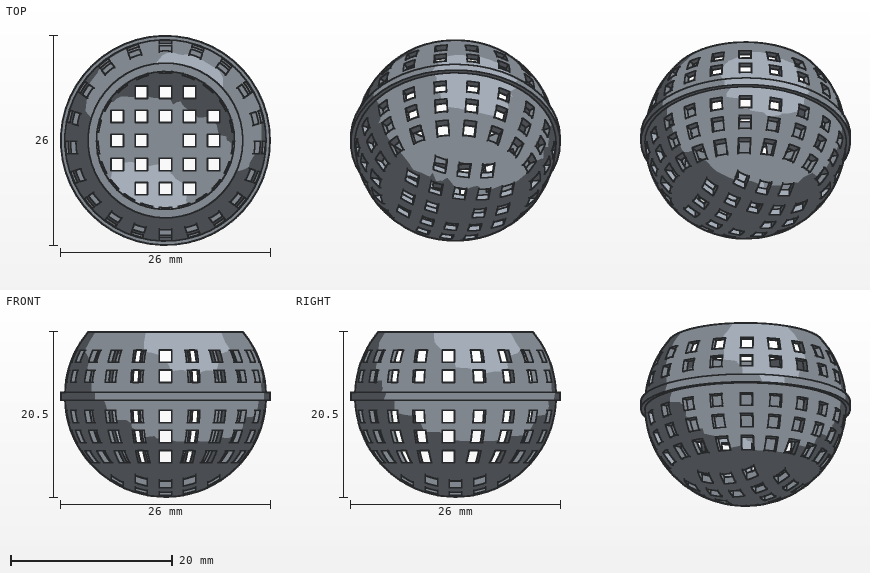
import cadquery as cq

ring_diameter = 26.0
ring_height = 1.0
shell_outer_radius = 12.5
shell_thickness = 0.78
shell_inner_radius = shell_outer_radius - shell_thickness
overall_height = 20.51
rim_height = overall_height - shell_outer_radius

hole_size = 1.5

holes_per_row = 20
row_pitch = 2.5
row_steps = (-3, -2, -1, 1, 2)
fan_axis_y = -0.88

grid_pitch = 3.0
grid_reach = 2


def ball(radius):
    return cq.Workplane("XY").sphere(radius)


def ring():
    return cq.Workplane("XY").cylinder(ring_height, ring_diameter / 2)


def space_above_rim():
    """Block that removes the top of the ball down to the flat rim."""
    return (
        cq.Workplane("XY")
        .workplane(offset=rim_height)
        .rect(ring_diameter, ring_diameter)
        .extrude(shell_outer_radius)
    )


def side_row(height):
    """Cutter for one level row of holes, made of bars crossing at the fan axis."""
    bar_length = 2 * ring_diameter
    hole_angle = 360 / holes_per_row
    bar = cq.Workplane("XY").box(hole_size, bar_length, hole_size)
    row = bar
    for index in range(1, holes_per_row // 2):
        row = row.union(bar.rotate((0, 0, 0), (0, 0, 1), index * hole_angle))
    return row.translate((0, fan_axis_y, height))


def bottom_grid():
    """Vertical cutters for the grid of holes in the bottom of the ball."""
    steps = range(-grid_reach, grid_reach + 1)
    spots = []
    for column in steps:
        for line in steps:
            is_corner = abs(column) == grid_reach and abs(line) == grid_reach
            is_centre = column == 0 and line == 0
            if not (is_corner or is_centre):
                spots.append((column * grid_pitch, line * grid_pitch))
    return (
        cq.Workplane("XY")
        .pushPoints(spots)
        .rect(hole_size, hole_size)
        .extrude(-shell_outer_radius)
    )


body = ball(shell_outer_radius).union(ring())
body = body.cut(ball(shell_inner_radius)).cut(space_above_rim())
for step in row_steps:
    body = body.cut(side_row(step * row_pitch))
result = body.cut(bottom_grid())